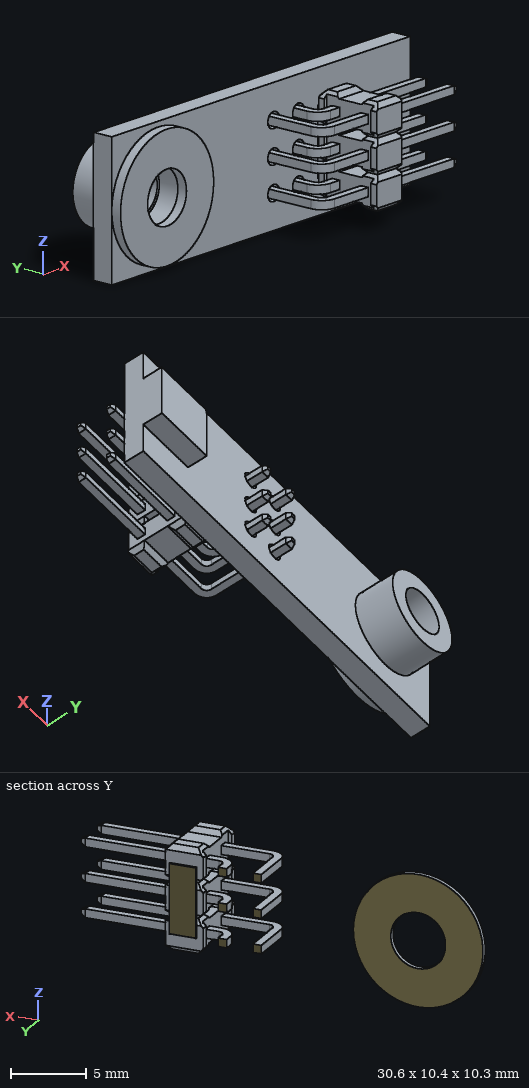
import cadquery as cq
import math

BOARD_LENGTH = 30.55
BOARD_HEIGHT = 10.33
BOARD_THICKNESS = 1.62

BLOCK_LENGTH = 4.77
BLOCK_HEIGHT = 4.8
BLOCK_THICKNESS = 1.6

RING_DIAMETER = 9.55
RING_THICKNESS = 0.75
RING_BORE = 3.97
BOSS_DIAMETER = 6.35
BOSS_LENGTH = 3.18
BOSS_BORE = 3.55
RING_X = RING_DIAMETER / 2

PITCH = 2.55
COLUMN_HEIGHTS = [-PITCH, 0.0, PITCH]
PIN_HOLE_DIAMETER = 1.2

CELL_DEPTH = 2 * PITCH
CELL_STANDOFF = 0.52
CELL_FRONT_Y = -(CELL_STANDOFF + CELL_DEPTH)
CELL_REAR_Y = -CELL_STANDOFF
CELL_LEFT_X = 20.85
CELL_RIGHT_X = 23.35
LIP_LENGTH = 0.28
LIP_WIDTH = 0.5
LIP_X = CELL_LEFT_X - LIP_LENGTH
CELL_CHAMFER = 0.37
LIP_CHAMFER = 0.52
CORNER_CHAMFER = 0.18
RIB_WIDTH = 1.55

FOOT_LEFT_X = 21.05
FOOT_LENGTH = 1.95
FOOT_HEIGHT = 2 * PITCH

PIN_WIDTH = 0.65
BEND_INNER_RADIUS = 0.45
BEND_RADIUS = BEND_INNER_RADIUS + PIN_WIDTH / 2
TIP_LENGTH = 0.37
TIP_INSET = 0.15
TIP_TAPER = math.degrees(math.atan2(TIP_INSET, TIP_LENGTH))
PIN_END_X = 30.0
PIN_END_Y = 3.2
ROW_CENTRE_Y = (CELL_FRONT_Y + CELL_REAR_Y) / 2
OUTER_LEG_X = 16.55
PIN_ROWS = [
    (OUTER_LEG_X, ROW_CENTRE_Y - PITCH / 2),
    (OUTER_LEG_X + PITCH, ROW_CENTRE_Y + PITCH / 2),
]


def box_between(x_range, y_range, height):
    """Box spanning the given X and Y ranges, centred on Z = 0."""
    length = x_range[1] - x_range[0]
    depth = y_range[1] - y_range[0]
    corner = (x_range[0], y_range[0], -height / 2)
    return cq.Workplane("XY").box(length, depth, height, centered=False).translate(corner)


def cylinder_along_y(x, z, diameter, y_start, y_end):
    """Cylinder with its axis along Y."""
    plane = cq.Plane(origin=(x, y_start, z), xDir=(1, 0, 0), normal=(0, 1, 0))
    return cq.Workplane(plane).circle(diameter / 2).extrude(y_end - y_start)


def make_board():
    """Board with its rear block, tubular boss, bore and pin holes."""
    boss_end_y = BOARD_THICKNESS + BOSS_LENGTH
    board = box_between((0, BOARD_LENGTH), (0, BOARD_THICKNESS), BOARD_HEIGHT)
    block = box_between(
        (BOARD_LENGTH - BLOCK_LENGTH, BOARD_LENGTH),
        (BOARD_THICKNESS, BOARD_THICKNESS + BLOCK_THICKNESS),
        BLOCK_HEIGHT,
    )
    boss = cylinder_along_y(RING_X, 0, BOSS_DIAMETER, BOARD_THICKNESS, boss_end_y)
    board = board.union(block).union(boss)
    board = board.cut(cylinder_along_y(RING_X, 0, RING_BORE, 0, BOARD_THICKNESS))
    board = board.cut(cylinder_along_y(RING_X, 0, BOSS_BORE, BOARD_THICKNESS, boss_end_y))
    for z in COLUMN_HEIGHTS:
        for leg_x, _ in PIN_ROWS:
            board = board.cut(cylinder_along_y(leg_x, z, PIN_HOLE_DIAMETER, 0, BOARD_THICKNESS))
    return board


def make_ring():
    """Flat ring lying against the front face of the board."""
    ring = cylinder_along_y(RING_X, 0, RING_DIAMETER, -RING_THICKNESS, 0)
    return ring.cut(cylinder_along_y(RING_X, 0, RING_BORE, -RING_THICKNESS, 0))


def make_cell():
    """Housing cell: two chamfered ribs above and below, and a lip along each side of its left face."""
    top = PITCH / 2
    shoulder = top - CELL_CHAMFER

    front_rib = [
        (CELL_FRONT_Y, shoulder),
        (CELL_FRONT_Y + CELL_CHAMFER, top),
        (CELL_FRONT_Y + RIB_WIDTH - CELL_CHAMFER, top),
        (CELL_FRONT_Y + RIB_WIDTH, shoulder),
    ]
    rear_rib = [(2 * ROW_CENTRE_Y - y, z) for y, z in reversed(front_rib)]
    upper_edge = front_rib + rear_rib
    lower_edge = [(y, -z) for y, z in reversed(upper_edge)]
    side_outline = cq.Workplane("YZ", origin=(LIP_X, 0, 0)).polyline(upper_edge + lower_edge).close()
    cell = side_outline.extrude(CELL_RIGHT_X - LIP_X)

    upper_outline = [
        (LIP_X, top - LIP_CHAMFER),
        (LIP_X + LIP_CHAMFER, top),
        (CELL_RIGHT_X - CELL_CHAMFER, top),
        (CELL_RIGHT_X, shoulder),
    ]
    lower_outline = [(x, -z) for x, z in reversed(upper_outline)]
    front_plane = cq.Workplane("XZ", origin=(0, CELL_REAR_Y, 0))
    front_outline = front_plane.polyline(upper_outline + lower_outline).close()
    cell = cell.intersect(front_outline.extrude(CELL_DEPTH))

    recess_y = (CELL_FRONT_Y + LIP_WIDTH, CELL_REAR_Y - LIP_WIDTH)
    cell = cell.cut(box_between((LIP_X, CELL_LEFT_X), recess_y, PITCH))

    corner = (
        cq.Workplane("XY", origin=(0, 0, -top))
        .moveTo(CELL_RIGHT_X, CELL_FRONT_Y)
        .lineTo(CELL_RIGHT_X, CELL_FRONT_Y + CORNER_CHAMFER)
        .lineTo(CELL_RIGHT_X - CORNER_CHAMFER, CELL_FRONT_Y)
        .close()
        .extrude(PITCH)
    )
    return cell.cut(corner)


def make_pin(leg_x, leg_y, z):
    """Square pin bent through a right angle, with a tapered tip at both ends."""
    shank_end_x = PIN_END_X - TIP_LENGTH
    shank_end_y = PIN_END_Y - TIP_LENGTH
    bend_offset = BEND_RADIUS * (1 - math.sqrt(0.5))
    path = (
        cq.Workplane("XY", origin=(0, 0, z))
        .moveTo(leg_x, shank_end_y)
        .lineTo(leg_x, leg_y + BEND_RADIUS)
        .threePointArc(
            (leg_x + bend_offset, leg_y + bend_offset),
            (leg_x + BEND_RADIUS, leg_y),
        )
        .lineTo(shank_end_x, leg_y)
    )
    rear_plane = cq.Plane(origin=(leg_x, shank_end_y, z), xDir=(1, 0, 0), normal=(0, 1, 0))
    right_plane = cq.Plane(origin=(shank_end_x, leg_y, z), xDir=(0, 1, 0), normal=(1, 0, 0))
    pin = cq.Workplane(rear_plane).rect(PIN_WIDTH, PIN_WIDTH).sweep(path)
    for plane in (rear_plane, right_plane):
        tip = cq.Workplane(plane).rect(PIN_WIDTH, PIN_WIDTH).extrude(TIP_LENGTH, taper=TIP_TAPER)
        pin = pin.union(tip)
    return pin


def make_header():
    """Housing of three cells with its foot and the six pins fixed in it."""
    header = box_between((FOOT_LEFT_X, FOOT_LEFT_X + FOOT_LENGTH), (CELL_REAR_Y, 0), FOOT_HEIGHT)
    cell = make_cell()
    for z in COLUMN_HEIGHTS:
        header = header.union(cell.translate((0, 0, z)))
    for z in COLUMN_HEIGHTS:
        for leg_x, leg_y in PIN_ROWS:
            header = header.union(make_pin(leg_x, leg_y, z))
    return header


board = make_board()
ring = make_ring()
header = make_header()

result = cq.Compound.makeCompound([board.solids().val(), ring.solids().val(), header.solids().val()])